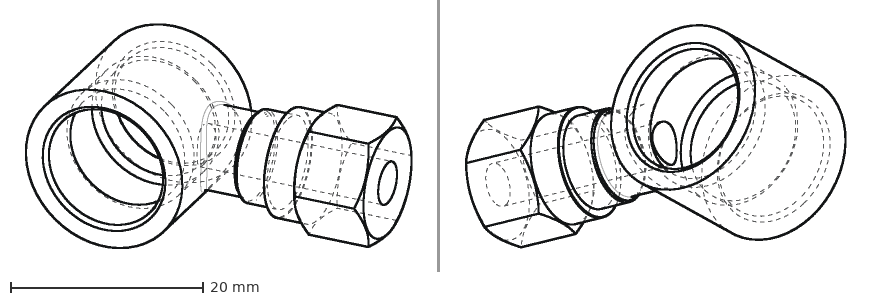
import cadquery as cq
import math


sleeve_radius = 8.995
sleeve_length = 17.0
bore_radius = 6.55
bore_chamfer = 0.5

total_length = 37.1
branch_offset = 1.0
neck_radius = 4.52
neck_end = 12.95
neck_fillet = 0.5
collar_radius = 5.0
collar_fillet = 0.3
collar_chamfer = collar_radius - neck_radius - collar_fillet
collar_end = 16.6
ferrule_radius = 5.9
ferrule_edge = 0.07
nut_start = 20.1
nut_end = total_length - sleeve_radius
nut_width = 11.98
nut_corner_radius = nut_width / 2 / math.cos(math.pi / 6)
nut_face_radius = 5.9
nut_chamfer_length = 0.6
branch_bore_radius = 2.3

channel_start = 5.7 - sleeve_length / 2
channel_end = 2 * branch_offset - channel_start
channel_depth = 0.75


def rod_y(radius):
    """Cylinder along Y over the full sleeve length."""
    base = cq.Vector(0, -sleeve_length / 2, 0)
    return cq.Workplane(cq.Solid.makeCylinder(radius, sleeve_length, base, cq.Vector(0, 1, 0)))


def rod_x(radius, start, end):
    """Cylinder on the branch axis between two stations."""
    base = cq.Vector(start, branch_offset, 0)
    return cq.Workplane(cq.Solid.makeCylinder(radius, end - start, base, cq.Vector(1, 0, 0)))


def make_sleeve_and_neck():
    sleeve = rod_y(sleeve_radius)
    body = sleeve.union(rod_x(neck_radius, 0, neck_end))
    junction = cq.selectors.BoxSelector(
        (0.37, branch_offset - neck_radius - 0.37, -neck_radius - 0.37),
        (neck_end - 0.37, branch_offset + neck_radius + 0.37, neck_radius + 0.37),
        boundingbox=True,
    )
    return body.edges(junction).fillet(neck_fillet)


def make_collar():
    return (
        cq.Workplane("XY", origin=(0, branch_offset, 0))
        .moveTo(neck_end - collar_fillet, 0)
        .lineTo(neck_end - collar_fillet, neck_radius)
        .radiusArc((neck_end, neck_radius + collar_fillet), -collar_fillet)
        .lineTo(neck_end + collar_chamfer, collar_radius)
        .lineTo(collar_end, collar_radius)
        .lineTo(collar_end, 0)
        .close()
        .revolve(360, (0, 0, 0), (1, 0, 0))
    )


def make_ferrule():
    return rod_x(ferrule_radius, collar_end, nut_start).faces("<X").edges().chamfer(ferrule_edge)


def make_nut():
    hexagon = (
        cq.Workplane("YZ", origin=(nut_start, branch_offset, 0))
        .polygon(6, 2 * nut_corner_radius)
        .extrude(nut_end - nut_start)
    )
    envelope = (
        cq.Workplane("XY", origin=(0, branch_offset, 0))
        .moveTo(nut_start, 0)
        .lineTo(nut_start, nut_face_radius)
        .lineTo(nut_start + nut_chamfer_length, nut_corner_radius)
        .lineTo(nut_end - nut_chamfer_length, nut_corner_radius)
        .lineTo(nut_end, nut_face_radius)
        .lineTo(nut_end, 0)
        .close()
        .revolve(360, (0, 0, 0), (1, 0, 0))
    )
    return hexagon.intersect(envelope)


def make_bore():
    bore = rod_y(bore_radius)
    channel = (
        cq.Workplane("XY")
        .moveTo(0, channel_start)
        .lineTo(bore_radius, channel_start)
        .lineTo(bore_radius + channel_depth, channel_start + channel_depth)
        .lineTo(bore_radius + channel_depth, channel_end - channel_depth)
        .lineTo(bore_radius, channel_end)
        .lineTo(0, channel_end)
        .close()
        .revolve(360, (0, 0, 0), (0, 1, 0))
    )
    bore = bore.union(channel)
    for end in (-1, 1):
        lead_in = cq.Solid.makeCone(
            bore_radius + bore_chamfer,
            bore_radius,
            bore_chamfer,
            cq.Vector(0, end * sleeve_length / 2, 0),
            cq.Vector(0, -end, 0),
        )
        bore = bore.union(cq.Workplane(lead_in))
    return bore


result = make_sleeve_and_neck().union(make_collar()).union(make_ferrule()).union(make_nut())
result = result.cut(make_bore()).cut(rod_x(branch_bore_radius, 0, nut_end))